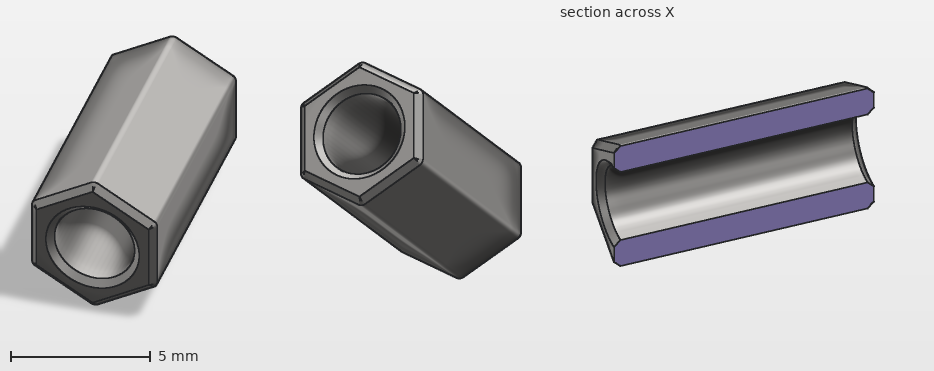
import cadquery as cq
import math

across_flats = 4.7
length = 10.0
bore_diameter = 3.0
edge_break = 0.25
hex_sides = 6

corner_diameter = across_flats / math.cos(math.pi / hex_sides)
corner_angle = 360 / hex_sides


def hexagonal_bar():
    """Hexagonal bar centred on the Y axis, with corners at +Z and -Z."""
    return (
        cq.Workplane("XZ")
        .transformed(rotate=(0, 0, corner_angle / 2))
        .polygon(hex_sides, corner_diameter)
        .extrude(length / 2, both=True)
    )


def break_outer_edges(bar):
    """Round the long corners and chamfer the rim of both ends."""
    return bar.edges("|Y").fillet(edge_break).faces("<Y or >Y").chamfer(edge_break)


def cut_bore(bar):
    """Drill through along Y and chamfer both mouths."""
    bored = bar.faces("<Y").workplane(origin=(0, 0, 0)).hole(bore_diameter)
    return bored.faces("<Y or >Y").edges("%CIRCLE").chamfer(edge_break)


bar = break_outer_edges(hexagonal_bar())
result = cut_bore(bar).solids()